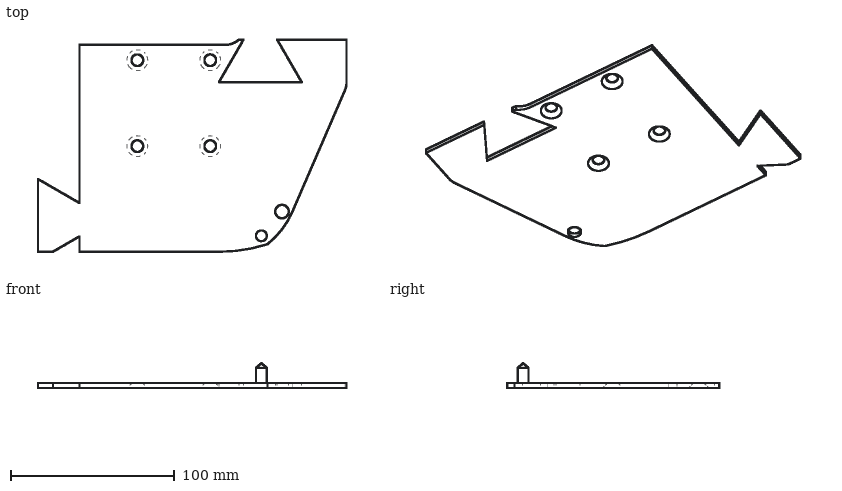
import cadquery as cq
import math

plate_length = 188.37
plate_width = 129.54
plate_thickness = 3.175
top_step = 3.175
body_left = 25.4

dovetail_slope = math.tan(math.radians(30))
tail_center_y = 19.65
tail_root_width = 20.5
socket_center_x = 135.7
socket_mouth_width = 20.3
socket_depth = 26.0

lip_start_x = 122.7
lip_blend_radius = 12.7

slant_angle = math.radians(66.6)
slant_bottom = (155.4, 24.7)
shoulder_radius = 12.7
nose_point = (140.0, 4.6)
bottom_arc_start_x = 110.6

mount_hole_diameter = 7.0
mount_sink_diameter = 12.7
mount_hole_x = 60.7
mount_hole_y = 64.5
mount_pitch_x = 44.45
mount_pitch_y = 52.4
pivot_hole_diameter = 8.1
pivot_hole_center = (148.9, 24.6)

pin_center = (136.35, 9.8)
pin_diameter = 6.6
pin_top = 15.24
pin_tip_height = 2.4
pin_rim_chamfer = 0.4


def make_plate():
    """Plate outline, counterclockwise from the tail's lower left corner."""
    step_y = plate_width - top_step

    root_bottom = tail_center_y - tail_root_width / 2
    root_top = tail_center_y + tail_root_width / 2
    tail_tip_top = root_top + body_left * dovetail_slope
    tail_bottom_end = body_left - root_bottom / dovetail_slope

    mouth_left = socket_center_x - socket_mouth_width / 2
    mouth_right = socket_center_x + socket_mouth_width / 2
    socket_flare = socket_depth * dovetail_slope
    socket_floor = plate_width - socket_depth

    sharp_y = slant_bottom[1] + (plate_length - slant_bottom[0]) * math.tan(slant_angle)
    shoulder_setback = shoulder_radius * math.tan((math.pi / 2 - slant_angle) / 2)
    slant_top = (
        plate_length - shoulder_setback * math.cos(slant_angle),
        sharp_y - shoulder_setback * math.sin(slant_angle),
    )
    shoulder_top = (plate_length, sharp_y + shoulder_setback)

    blend_run = math.sqrt(lip_blend_radius**2 - (lip_blend_radius - top_step)**2)
    blend_end_x = lip_start_x - blend_run

    chord_x = slant_bottom[0] - nose_point[0]
    chord_y = slant_bottom[1] - nose_point[1]
    half_turn = slant_angle - math.atan2(chord_y, chord_x)
    nose_radius = math.hypot(chord_x, chord_y) / (2 * math.sin(half_turn))

    outline = (
        cq.Workplane("XY")
        .moveTo(0, 0)
        .lineTo(tail_bottom_end, 0)
        .lineTo(body_left, root_bottom)
        .lineTo(body_left, 0)
        .lineTo(bottom_arc_start_x, 0)
        .tangentArcPoint(nose_point, relative=False)
        .radiusArc(slant_bottom, -nose_radius)
        .lineTo(*slant_top)
        .tangentArcPoint(shoulder_top, relative=False)
        .lineTo(plate_length, plate_width)
        .lineTo(mouth_right, plate_width)
        .lineTo(mouth_right + socket_flare, socket_floor)
        .lineTo(mouth_left - socket_flare, socket_floor)
        .lineTo(mouth_left, plate_width)
        .lineTo(lip_start_x, plate_width)
        .radiusArc((blend_end_x, step_y), lip_blend_radius)
        .lineTo(body_left, step_y)
        .lineTo(body_left, root_top)
        .lineTo(0, tail_tip_top)
        .close()
    )
    return outline.extrude(plate_thickness)


def make_hole_cutters():
    """Four mounting holes countersunk from below, and the larger pivot hole."""
    hole_radius = mount_hole_diameter / 2
    sink_radius = mount_sink_diameter / 2
    sink_depth = sink_radius - hole_radius
    mount_centers = [
        (mount_hole_x + column * mount_pitch_x, mount_hole_y + row * mount_pitch_y)
        for column in range(2)
        for row in range(2)
    ]
    pivot_radius = pivot_hole_diameter / 2
    cutters = cq.Workplane("XY").center(*pivot_hole_center).circle(pivot_radius).extrude(plate_thickness)
    mount_profile = (
        cq.Workplane("XZ")
        .moveTo(0, 0)
        .lineTo(sink_radius, 0)
        .lineTo(hole_radius, sink_depth)
        .lineTo(hole_radius, plate_thickness)
        .lineTo(0, plate_thickness)
        .close()
    )
    mount_cutter = mount_profile.revolve(360, (0, 0), (0, 1))
    for center in mount_centers:
        cutters = cutters.union(mount_cutter.translate((*center, 0)))
    return cutters


def make_pin():
    """Pin profile revolved about its own axis, from the plate's bottom face to the tip."""
    radius = pin_diameter / 2
    tip_base_radius = radius - pin_rim_chamfer
    tip_base_z = pin_top - pin_tip_height
    profile = (
        cq.Workplane("XZ")
        .moveTo(0, 0)
        .lineTo(radius, 0)
        .lineTo(radius, tip_base_z - pin_rim_chamfer)
        .lineTo(tip_base_radius, tip_base_z)
        .lineTo(0, pin_top)
        .close()
    )
    return profile.revolve(360, (0, 0), (0, 1)).translate((*pin_center, 0))


result = make_plate().cut(make_hole_cutters()).union(make_pin())